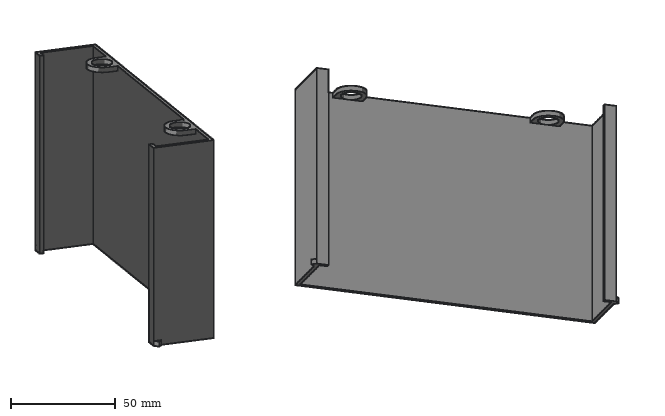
import cadquery as cq

width = 152.0
depth = 31.0
height = 100.0
wall = 2.0
lip_width = 6.0
lip_thickness = wall
lug_width = 15.0
lug_hole_diameter = 10.0
lug_thickness = 2.5
lug_spacing = 100.0
lug_embed = 0.5
catch_reach = 2.0
catch_height = 2.5

back_inner = depth - wall
lug_axis_y = back_inner - lug_hole_diameter / 2
lug_axes_x = [(width - lug_spacing) / 2, (width + lug_spacing) / 2]


def make_channel():
    """U-shaped channel with inward lips along both front edges."""
    outer = cq.Workplane("XY").box(width, depth, height, centered=False)
    cavity = (
        cq.Workplane("XY")
        .box(width - 2 * wall, depth - wall - lip_thickness, height, centered=False)
        .translate((wall, lip_thickness, 0))
    )
    opening = (
        cq.Workplane("XY")
        .box(width - 2 * lip_width, lip_thickness, height, centered=False)
        .translate((lip_width, 0, 0))
    )
    return outer.cut(cavity).cut(opening)


def make_lug(axis_x):
    """Round-ended lug with a through hole, level with the top edge."""
    radius = lug_width / 2
    back = back_inner + lug_embed
    bottom = height - lug_thickness
    hole = (
        cq.Workplane("XY", origin=(axis_x, lug_axis_y, bottom))
        .circle(lug_hole_diameter / 2)
        .extrude(lug_thickness)
    )
    body = (
        cq.Workplane("XY", origin=(axis_x, 0, bottom))
        .moveTo(-radius, back)
        .lineTo(-radius, lug_axis_y)
        .threePointArc((0, lug_axis_y - radius), (radius, lug_axis_y))
        .lineTo(radius, back)
        .close()
        .extrude(lug_thickness)
    )
    return body.cut(hole)


def make_catch(wall_x, direction):
    """Triangular catch at the foot of a side wall, pointing outward."""
    return (
        cq.Workplane("XY")
        .moveTo(wall_x, 0)
        .lineTo(wall_x + direction * catch_reach, catch_reach)
        .lineTo(wall_x, 2 * catch_reach)
        .close()
        .extrude(catch_height)
    )


result = make_channel()
for lug_axis_x in lug_axes_x:
    result = result.union(make_lug(lug_axis_x))
result = result.union(make_catch(0, -1))
result = result.union(make_catch(width, 1))